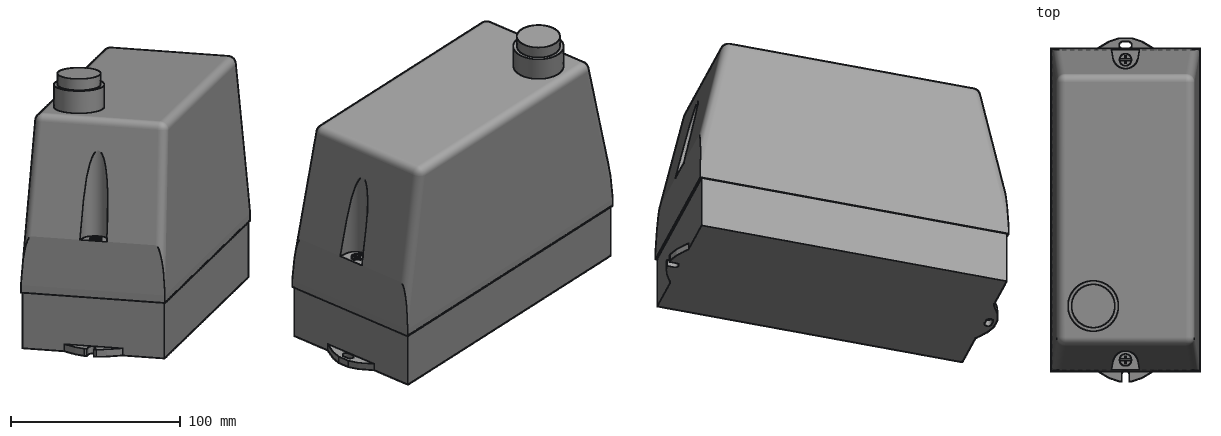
import cadquery as cq
import math

COVER_WIDTH = 88.0
COVER_LENGTH = 190.6
COVER_BOTTOM = 34.2
RIM_TOP = 38.9
SHOULDER_HEIGHT = 68.8
COVER_TOP = 139.5
WALL_DRAFT = 2.0
END_DRAFT = 12.0
EDGE_RADIUS = 5.0

GROOVE_RADIUS = 7.5
GROOVE_CENTER_Y = 90.7
GROOVE_FLARE = 10.0
SCREW_Y = 88.5
SCREW_DIAMETER = 7.0
SCREW_RECESS = 0.6
LONG_SLOT_WIDTH = 1.2
LONG_SLOT_DEPTH = 1.0
SHORT_SLOT_WIDTH = 0.8
SHORT_SLOT_LENGTH = 4.5
SHORT_SLOT_DEPTH = 0.6

BUTTON_X = -19.0
BUTTON_Y = -56.7
COLLAR_DIAMETER = 29.7
COLLAR_TOP = 153.0
BUTTON_DIAMETER = 25.5
BUTTON_TOP = 159.9

BASE_WIDTH = 86.8
BASE_LENGTH = 188.5

EAR_TIP_Y = 101.2
EAR_HEIGHT = 4.5
EAR_ROOT_HALF_WIDTH = 17.8
EAR_CORNER_HALF_WIDTH = 9.7
EAR_CORNER_SETBACK = 2.0
EAR_TIP_HALF_WIDTH = 3.6
EAR_SLOT_WIDTH = 4.2
EAR_SLOT_CENTER_Y = 97.0
EAR_CROSS_SLOT_LENGTH = 7.3


def box_between(width, length, bottom, top):
    """Box centred on the Z axis, between two heights."""
    return cq.Workplane("XY").workplane(offset=bottom).rect(width, length).extrude(top - bottom)


def disc(x, y, diameter, bottom, top):
    """Upright cylinder between two heights."""
    return (
        cq.Workplane("XY").workplane(offset=bottom).center(x, y).circle(diameter / 2).extrude(top - bottom)
    )


def make_ear(side):
    """Plain mounting ear on the end given by side (-1 front, +1 back)."""
    root_y = side * BASE_LENGTH / 2
    corner_y = side * (EAR_TIP_Y - EAR_CORNER_SETBACK)
    tip_y = side * EAR_TIP_Y
    return (
        cq.Workplane("XY")
        .moveTo(-EAR_ROOT_HALF_WIDTH, 0)
        .lineTo(-EAR_ROOT_HALF_WIDTH, root_y)
        .lineTo(-EAR_CORNER_HALF_WIDTH, corner_y)
        .lineTo(-EAR_TIP_HALF_WIDTH, tip_y)
        .lineTo(EAR_TIP_HALF_WIDTH, tip_y)
        .lineTo(EAR_CORNER_HALF_WIDTH, corner_y)
        .lineTo(EAR_ROOT_HALF_WIDTH, root_y)
        .lineTo(EAR_ROOT_HALF_WIDTH, 0)
        .close()
        .extrude(EAR_HEIGHT)
    )


def make_base():
    """Rectangular base with an open-slotted front ear and a cross-slotted back ear."""
    base = box_between(BASE_WIDTH, BASE_LENGTH, 0, COVER_BOTTOM)
    for side in (-1, 1):
        base = base.union(make_ear(side))

    front_slot_end = disc(0, -EAR_SLOT_CENTER_Y, EAR_SLOT_WIDTH, 0, EAR_HEIGHT)
    slot_run = EAR_TIP_Y - EAR_SLOT_CENTER_Y
    front_slot_mouth = box_between(EAR_SLOT_WIDTH, slot_run, 0, EAR_HEIGHT).translate(
        (0, -EAR_SLOT_CENTER_Y - slot_run / 2, 0)
    )
    back_slot = (
        cq.Workplane("XY")
        .center(0, EAR_SLOT_CENTER_Y)
        .slot2D(EAR_CROSS_SLOT_LENGTH, EAR_SLOT_WIDTH)
        .extrude(EAR_HEIGHT)
    )
    return base.cut(front_slot_end).cut(front_slot_mouth).cut(back_slot)


def make_hood():
    """Drafted hood: rounded and steeply sloped at the ends, trimmed by the near-upright lower walls."""
    wall_slope = math.tan(math.radians(WALL_DRAFT))
    end_slope = math.tan(math.radians(END_DRAFT))
    hood_height = COVER_TOP - RIM_TOP
    top_half_width = COVER_WIDTH / 2 - hood_height * wall_slope
    shoulder_half_length = COVER_LENGTH / 2 - (SHOULDER_HEIGHT - RIM_TOP) * wall_slope
    top_half_length = shoulder_half_length - (COVER_TOP - SHOULDER_HEIGHT) * end_slope
    foot_half_length = top_half_length + hood_height * end_slope

    end_slopes = (
        cq.Workplane("YZ")
        .moveTo(-foot_half_length, RIM_TOP)
        .lineTo(foot_half_length, RIM_TOP)
        .lineTo(top_half_length, COVER_TOP)
        .lineTo(-top_half_length, COVER_TOP)
        .close()
        .extrude(COVER_WIDTH / 2, both=True)
    )
    side_walls = (
        cq.Workplane("XZ")
        .moveTo(-COVER_WIDTH / 2, RIM_TOP)
        .lineTo(COVER_WIDTH / 2, RIM_TOP)
        .lineTo(top_half_width, COVER_TOP)
        .lineTo(-top_half_width, COVER_TOP)
        .close()
        .extrude(foot_half_length, both=True)
    )
    sloped = end_slopes.intersect(side_walls).edges("not <Z").fillet(EDGE_RADIUS)
    lower_walls = (
        cq.Workplane("XY")
        .workplane(offset=RIM_TOP)
        .rect(COVER_WIDTH, COVER_LENGTH)
        .extrude(hood_height, taper=WALL_DRAFT)
    )
    return sloped.intersect(lower_walls)


def make_groove(side):
    """Upright groove with a round back and straight sides that flare towards its mouth."""
    flare = math.radians(GROOVE_FLARE)
    center_y = side * GROOVE_CENTER_Y
    mouth_y = side * COVER_LENGTH / 2
    mouth_distance = COVER_LENGTH / 2 - GROOVE_CENTER_Y
    tangent_x = GROOVE_RADIUS * math.cos(flare)
    tangent_y = center_y - side * GROOVE_RADIUS * math.sin(flare)
    mouth_half_width = (GROOVE_RADIUS + mouth_distance * math.sin(flare)) / math.cos(flare)
    return (
        cq.Workplane("XY")
        .workplane(offset=SHOULDER_HEIGHT)
        .moveTo(-mouth_half_width, mouth_y)
        .lineTo(-tangent_x, tangent_y)
        .threePointArc((0, center_y - side * GROOVE_RADIUS), (tangent_x, tangent_y))
        .lineTo(mouth_half_width, mouth_y)
        .close()
        .extrude(COVER_TOP - SHOULDER_HEIGHT)
    )


def make_screw_recess(side):
    """Round screw head recess in the groove floor, with a long and a short drive slot crossed in it."""
    screw_y = side * SCREW_Y
    recess_floor = SHOULDER_HEIGHT - SCREW_RECESS
    head_recess = disc(0, screw_y, SCREW_DIAMETER, recess_floor, SHOULDER_HEIGHT)
    long_slot_floor = recess_floor - LONG_SLOT_DEPTH
    long_slot = (
        box_between(SCREW_DIAMETER, LONG_SLOT_WIDTH, long_slot_floor, recess_floor)
        .translate((0, screw_y, 0))
        .intersect(disc(0, screw_y, SCREW_DIAMETER, long_slot_floor, recess_floor))
    )
    short_slot = box_between(
        SHORT_SLOT_WIDTH, SHORT_SLOT_LENGTH, recess_floor - SHORT_SLOT_DEPTH, recess_floor
    ).translate((0, screw_y, 0))
    return head_recess.union(long_slot).union(short_slot)


def make_cover():
    """Cover with its rim, screw grooves, screw recesses and push button."""
    cover = box_between(COVER_WIDTH, COVER_LENGTH, COVER_BOTTOM, RIM_TOP).union(make_hood())
    for side in (-1, 1):
        cover = cover.cut(make_groove(side)).cut(make_screw_recess(side))
    collar = disc(BUTTON_X, BUTTON_Y, COLLAR_DIAMETER, COVER_TOP, COLLAR_TOP)
    button = disc(BUTTON_X, BUTTON_Y, BUTTON_DIAMETER, COLLAR_TOP, BUTTON_TOP)
    return cover.union(collar).union(button)


base = make_base()
cover = make_cover()

result = cq.Compound.makeCompound([base.val(), cover.val()])